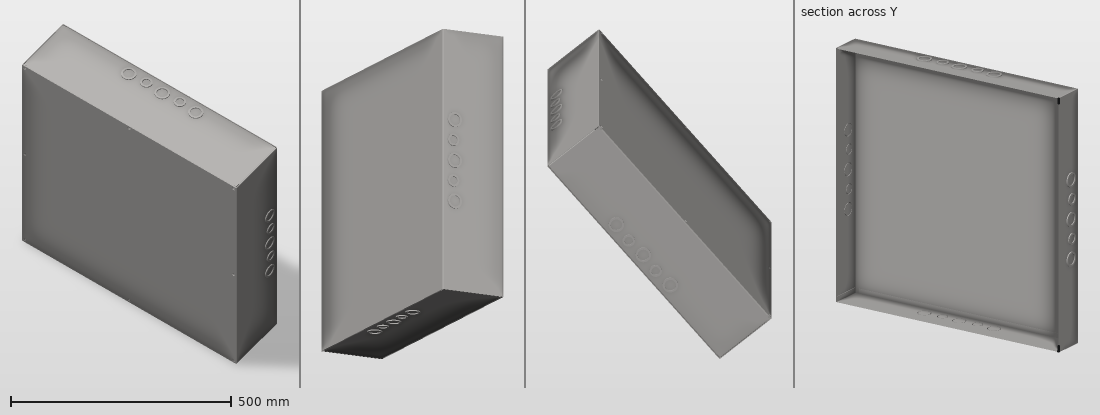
import cadquery as cq

overall = 616.0
depth = 154.0
bead_height = 2.5
sheet = 1.55
bend_radius = 2.0

box_half = overall / 2 - bead_height
inner_half = box_half - sheet
back_outer = depth / 2
back_inner = back_outer - sheet
cover_front = -depth / 2
cover_back = cover_front + sheet
flange_back = cover_back + sheet

flange_width = 13.0
flange_end = box_half - flange_width
tab_width = 14.0
tab_front = -62.0
tab_back = 72.0

cover_hole = 8.0
flange_hole = 4.5
hole_inset = 8.0
hole_reach = box_half - hole_inset

large_bead = 35.0
small_bead = 28.5
bead_width = 4.6
row_of_beads = (large_bead, small_bead, large_bead, small_bead, large_bead)
row_length = 191.0
knockout_spacing = row_length / (len(row_of_beads) - 1)
knockout_rear = 64.5


def block(x_range, y_range, z_range):
    """Box between the given limits along each axis."""
    low, high = zip(x_range, y_range, z_range)
    size = [end - start for start, end in zip(low, high)]
    return cq.Workplane("XY").box(*size, centered=False).translate(low)


def wide_block(half_width, y_range, z_range):
    """Box centred on X = 0."""
    return block((-half_width, half_width), y_range, z_range)


def ring(outer, inner, bottom, top):
    """Flat ring about the Z axis, from one height to another."""
    base = cq.Workplane("XY").workplane(offset=bottom)
    return base.circle(outer / 2).circle(inner / 2).extrude(top - bottom)


def add_knockouts(wall):
    """Press the row of hollow ring beads outward in the wall at +Z."""
    for index, outer in enumerate(row_of_beads):
        inner = outer - 2 * bead_width
        place = (index * knockout_spacing - row_length / 2, knockout_rear - outer / 2, 0)
        ridge = ring(outer, inner, inner_half, box_half + bead_height)
        groove = ring(outer - 2 * sheet, inner + 2 * sheet, inner_half, inner_half + bead_height)
        wall = wall.union(ridge.translate(place)).cut(groove.translate(place))
    return wall


def turn_about_y(body, angle):
    return body.rotate((0, 0, 0), (0, 1, 0), angle)


def cut_screw_holes(body, diameter):
    """Cut the eight screw holes along Y through the cover or the flanges behind it."""
    steps = (-hole_reach, 0, hole_reach)
    points = [(x, z) for x in steps for z in steps if (x, z) != (0, 0)]
    drills = (
        cq.Workplane("XZ", origin=(0, flange_back, 0))
        .pushPoints(points)
        .circle(diameter / 2)
        .extrude(flange_back - cover_front)
    )
    return body.cut(drills)


def make_cover():
    """Flat square cover that closes the front."""
    full = (-box_half, box_half)
    return cut_screw_holes(block(full, (cover_front, cover_back), full), cover_hole)


def make_wrapper():
    """Back and both side walls bent from one sheet, with turned-in front flanges."""
    full_height = (-box_half, box_half)
    wrapper = wide_block(box_half, (cover_back, back_outer), full_height)
    wrapper = wrapper.edges("|Z").fillet(bend_radius)
    wrapper = wrapper.cut(wide_block(inner_half, (flange_back, back_inner), full_height))
    wrapper = wrapper.cut(wide_block(flange_end, (cover_back, flange_back), full_height))
    for angle in (90, -90):
        wrapper = turn_about_y(add_knockouts(turn_about_y(wrapper, angle)), -angle)
    return cut_screw_holes(wrapper, flange_hole)


def make_top_panel():
    """Top wall with front and rear flanges and two side tabs, all bent downward."""
    flat_depth = (cover_back + bend_radius, back_inner - bend_radius)
    flat = wide_block(inner_half - bend_radius, flat_depth, (inner_half, box_half))

    tab_depth = (tab_front, tab_back)
    tabs = wide_block(inner_half, tab_depth, (box_half - tab_width, box_half))
    tabs = tabs.edges("|Y and >Z").fillet(bend_radius)
    tabs = tabs.cut(wide_block(inner_half - sheet, tab_depth, (0, inner_half)))

    flanges = wide_block(flange_end, (cover_back, back_inner), (flange_end, box_half))
    flanges = flanges.edges("|X and >Z").fillet(bend_radius)
    between_flanges = (flange_back, back_inner - sheet)
    flanges = flanges.cut(wide_block(flange_end, between_flanges, (0, inner_half)))

    panel = add_knockouts(flat.union(tabs).union(flanges))
    return cut_screw_holes(panel, flange_hole)


cover = make_cover()
wrapper = make_wrapper()
top_panel = make_top_panel()
bottom_panel = top_panel.mirror("XY")
bodies = [wrapper, top_panel, bottom_panel, cover]
result = cq.Compound.makeCompound([body.solids().val() for body in bodies])